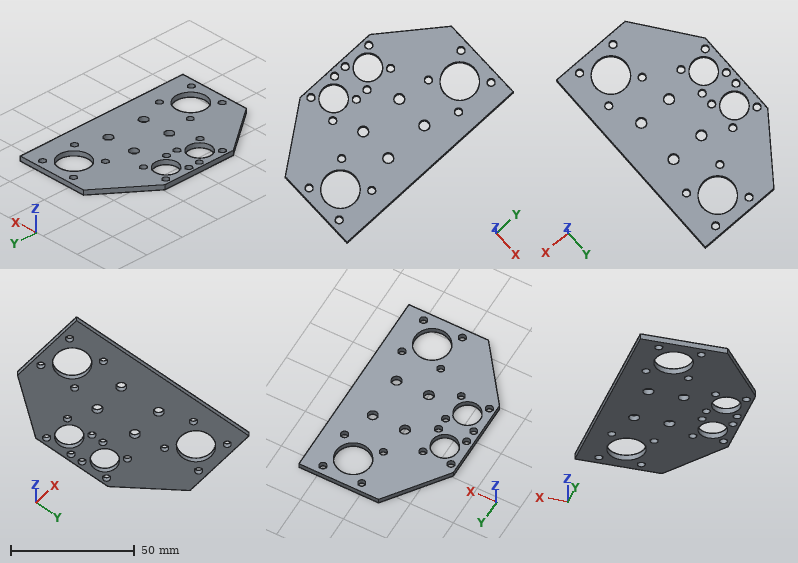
import cadquery as cq

length = 92.0
width = 57.0
thickness = 2.5
corner_cut_x = 20.0
corner_cut_y = 26.7

left_edge = -width / 2

screw_diameter = 3.2

outer_opening_diameter = 16.0
outer_opening_x = left_edge + 39.0
outer_opening_y = 33.0
outer_screw_spacing = 18.0

inner_opening_diameter = 12.0
inner_opening_x = left_edge + 9.5
inner_opening_y = 9.5
inner_screw_spacing = 13.1

mount_diameter = 4.4
mount_center_x = left_edge + 35.2
mount_spacing_x = 15.0
mount_spacing_y = 20.0


def make_plate():
    """Rectangular plate with both left corners cut off at a slant."""
    right_edge = width / 2
    half_length = length / 2
    cut_end_x = left_edge + corner_cut_x
    cut_end_y = half_length - corner_cut_y
    return (
        cq.Workplane("XY")
        .polyline([
            (right_edge, -half_length),
            (right_edge, half_length),
            (cut_end_x, half_length),
            (left_edge, cut_end_y),
            (left_edge, -cut_end_y),
            (cut_end_x, -half_length),
        ])
        .close()
        .extrude(thickness)
    )


def cut_hole_rectangle(body, center, spacing_x, spacing_y, diameter):
    """Drill four through holes at the corners of a rectangle."""
    return (
        body.faces(">Z").workplane(origin=(*center, thickness))
        .rect(spacing_x, spacing_y, forConstruction=True)
        .vertices()
        .hole(diameter)
    )


def cut_opening(body, center, diameter, screw_spacing):
    """Cut a round opening and its four surrounding screw holes."""
    body = body.faces(">Z").workplane(origin=(*center, thickness)).hole(diameter)
    return cut_hole_rectangle(body, center, screw_spacing, screw_spacing, screw_diameter)


result = make_plate()
for side in (-1, 1):
    result = cut_opening(
        result, (outer_opening_x, side * outer_opening_y), outer_opening_diameter, outer_screw_spacing
    )
    result = cut_opening(
        result, (inner_opening_x, side * inner_opening_y), inner_opening_diameter, inner_screw_spacing
    )
result = cut_hole_rectangle(
    result, (mount_center_x, 0), mount_spacing_x, mount_spacing_y, mount_diameter
)